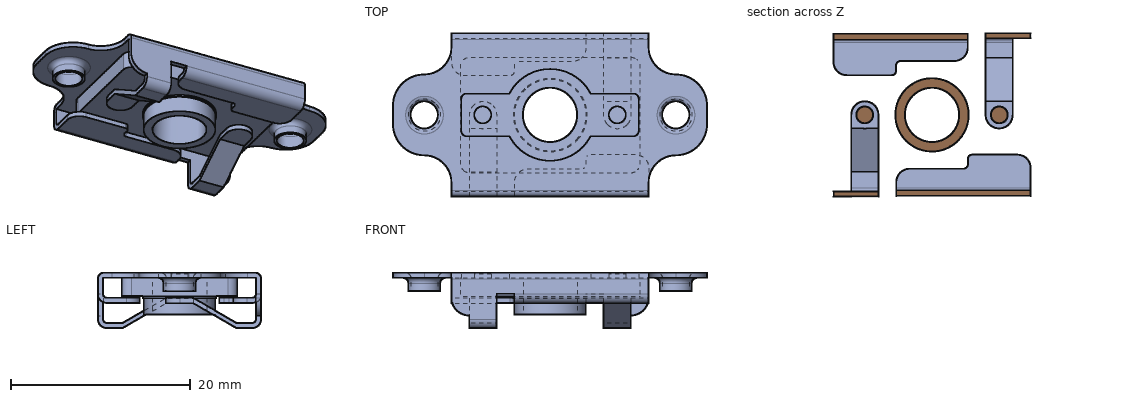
import cadquery as cq

SHEET = 0.6
BODY_LENGTH = 21.98
BODY_WIDTH = 18.2
TOTAL_HEIGHT = 6.2
TOP_BEND_RADIUS = 0.7
INNER_BEND_RADIUS = 0.42
OUTER_BEND_RADIUS = INNER_BEND_RADIUS + SHEET

TOTAL_LENGTH = 35.0
LUG_WIDTH = 9.03
LUG_CORNER_RADIUS = 3.5

EYELET_X = TOTAL_LENGTH / 2 - LUG_CORNER_RADIUS
EYELET_BORE_RADIUS = 1.5
EYELET_OUTER_RADIUS = 1.8
EYELET_DEPTH = 2.05
EYELET_FLARE = 0.6

WINDOW_LENGTH = 19.75
WINDOW_WIDTH = 4.75
WINDOW_CORNER_RADIUS = 0.6
WINDOW_CIRCLE_RADIUS = 5.1

BLOCK_LENGTH = 20.02
BLOCK_WIDTH = 12.88
BLOCK_CORNER_RADIUS = 1.1
BLOCK_BOTTOM = -2.62
COLLAR_RADIUS = 4.0
COLLAR_BOTTOM = -4.7
COLLAR_LIP_RADIUS = 4.1
COLLAR_LIP_HEIGHT = 0.2
BORE_RADIUS = 3.0
PIN_X = 7.5
PIN_RADIUS = 0.95
PIN_TOP = -0.1

FLANGE_BOTTOM = -3.4
FLANGE_TOP = FLANGE_BOTTOM + SHEET
FLANGE_START = -4.0
FLANGE_STEP = 4.0
FLANGE_NARROW_Y = -6.0
FLANGE_WIDE_Y = -4.4
FLANGE_CORNER_RADIUS = 1.5
FLANGE_STEP_RADIUS = 0.5

LEG_START = -9.0
LEG_WIDTH = 3.05
LEG_END = LEG_START + LEG_WIDTH
LEG_FOOT_Y = -6.35
LEG_KNEE_Y = -1.5
WALL_CORNER_RADIUS = 2.0
WALL_CORNER_TOP = -2.8

half_length = BODY_LENGTH / 2
half_width = BODY_WIDTH / 2
lug_neck_radius = EYELET_X - half_length
wall_inside_y = -half_width + SHEET
fold_start_z = FLANGE_BOTTOM + OUTER_BEND_RADIUS


def cylinder(radius, bottom, top, x=0):
    return cq.Workplane("XY", origin=(x, 0, bottom)).circle(radius).extrude(top - bottom)


def round_bend(solid, y, z, radius):
    """Round the edge along X that runs through the given y and z."""
    x = solid.val().Center().x
    edge = cq.selectors.NearestToPointSelector((x, y, z))
    return solid.edges("|X").edges(edge).fillet(radius)


def extrude_side_profile(points, x_start, x_end):
    """Extrude a closed Y-Z outline between two X positions."""
    profile = cq.Workplane("YZ", origin=(x_start, 0, 0)).polyline(points).close()
    return profile.extrude(x_end - x_start)


def make_plate():
    """Plate with a lug at each end, mirrored from one quarter."""
    lug_side = LUG_WIDTH / 2
    quarter = (
        cq.Workplane("XY", origin=(0, 0, -SHEET))
        .lineTo(TOTAL_LENGTH / 2, 0)
        .lineTo(TOTAL_LENGTH / 2, lug_side - LUG_CORNER_RADIUS)
        .radiusArc((EYELET_X, lug_side), -LUG_CORNER_RADIUS)
        .radiusArc((half_length, lug_side + lug_neck_radius), lug_neck_radius)
        .lineTo(half_length, half_width)
        .lineTo(0, half_width)
        .close()
        .extrude(SHEET)
    )
    half = quarter.union(quarter.mirror("XZ"))
    return half.union(half.mirror("YZ"))


def make_wall():
    """Side wall at -Y, with the rounded lower corner beside the leg."""
    corner_bottom = WALL_CORNER_TOP - WALL_CORNER_RADIUS
    return (
        cq.Workplane("XZ", origin=(0, -half_width, 0))
        .moveTo(-half_length, 0)
        .lineTo(half_length, 0)
        .lineTo(half_length, fold_start_z)
        .lineTo(LEG_END, fold_start_z)
        .lineTo(LEG_END, corner_bottom)
        .lineTo(LEG_START, corner_bottom)
        .radiusArc((-half_length, WALL_CORNER_TOP), WALL_CORNER_RADIUS)
        .close()
        .extrude(-SHEET)
    )


def make_flange():
    """Stepped flange folded inward from the -Y wall."""
    points = [
        (-half_width, -SHEET),
        (-half_width, FLANGE_BOTTOM),
        (FLANGE_WIDE_Y, FLANGE_BOTTOM),
        (FLANGE_WIDE_Y, FLANGE_TOP),
        (wall_inside_y, FLANGE_TOP),
        (wall_inside_y, -SHEET),
    ]
    fold = extrude_side_profile(points, FLANGE_START, half_length)
    fold = round_bend(fold, wall_inside_y, FLANGE_TOP, INNER_BEND_RADIUS)
    fold = round_bend(fold, -half_width, FLANGE_BOTTOM, OUTER_BEND_RADIUS)

    big = FLANGE_CORNER_RADIUS
    small = FLANGE_STEP_RADIUS
    outline = (
        cq.Workplane("XY", origin=(0, 0, FLANGE_BOTTOM))
        .moveTo(FLANGE_START, -half_width)
        .lineTo(FLANGE_START, FLANGE_NARROW_Y - big)
        .radiusArc((FLANGE_START + big, FLANGE_NARROW_Y), big)
        .lineTo(FLANGE_STEP - small, FLANGE_NARROW_Y)
        .radiusArc((FLANGE_STEP, FLANGE_NARROW_Y + small), -small)
        .lineTo(FLANGE_STEP, FLANGE_WIDE_Y - small)
        .radiusArc((FLANGE_STEP + small, FLANGE_WIDE_Y), small)
        .lineTo(half_length - big, FLANGE_WIDE_Y)
        .radiusArc((half_length, FLANGE_WIDE_Y - big), big)
        .lineTo(half_length, -half_width)
        .close()
        .extrude(-SHEET - FLANGE_BOTTOM)
    )
    return fold.intersect(outline)


def make_leg():
    """Spring leg: down the -Y wall, inward, then up to a rounded tip."""
    foot_top = -TOTAL_HEIGHT + SHEET
    points = [
        (-half_width, WALL_CORNER_TOP),
        (-half_width, -TOTAL_HEIGHT),
        (LEG_FOOT_Y, -TOTAL_HEIGHT),
        (LEG_KNEE_Y, FLANGE_BOTTOM),
        (0, FLANGE_BOTTOM),
        (0, FLANGE_TOP),
        (LEG_KNEE_Y, FLANGE_TOP),
        (LEG_FOOT_Y, foot_top),
        (wall_inside_y, foot_top),
        (wall_inside_y, WALL_CORNER_TOP),
    ]
    leg = extrude_side_profile(points, LEG_START, LEG_END)
    leg = round_bend(leg, wall_inside_y, foot_top, INNER_BEND_RADIUS)
    leg = round_bend(leg, -half_width, -TOTAL_HEIGHT, OUTER_BEND_RADIUS)
    tip = cylinder(LEG_WIDTH / 2, FLANGE_BOTTOM, FLANGE_TOP, (LEG_START + LEG_END) / 2)
    return leg.union(tip)


def make_window():
    bar = (
        cq.Workplane("XY", origin=(0, 0, -SHEET))
        .rect(WINDOW_LENGTH, WINDOW_WIDTH)
        .extrude(SHEET)
        .edges("|Z")
        .fillet(WINDOW_CORNER_RADIUS)
    )
    return bar.union(cylinder(WINDOW_CIRCLE_RADIUS, -SHEET, 0))


def make_block():
    block = (
        cq.Workplane("XY", origin=(0, 0, BLOCK_BOTTOM))
        .rect(BLOCK_LENGTH, BLOCK_WIDTH)
        .extrude(-SHEET - BLOCK_BOTTOM)
        .edges("|Z")
        .fillet(BLOCK_CORNER_RADIUS)
    )
    lip = cylinder(COLLAR_LIP_RADIUS, BLOCK_BOTTOM - COLLAR_LIP_HEIGHT, BLOCK_BOTTOM)
    block = block.union(lip).union(cylinder(COLLAR_RADIUS, COLLAR_BOTTOM, BLOCK_BOTTOM))
    for x in (-PIN_X, PIN_X):
        block = block.union(cylinder(PIN_RADIUS, FLANGE_TOP, PIN_TOP, x))
    return block.cut(cylinder(BORE_RADIUS, COLLAR_BOTTOM, 0))


def make_eyelet(x):
    """Tube around a lug hole, flared into the plate inside and outside."""
    flare = EYELET_FLARE
    profile = (
        cq.Workplane("XZ")
        .moveTo(EYELET_BORE_RADIUS, -EYELET_DEPTH)
        .lineTo(EYELET_OUTER_RADIUS, -EYELET_DEPTH)
        .lineTo(EYELET_OUTER_RADIUS, -SHEET - flare)
        .radiusArc((EYELET_OUTER_RADIUS + flare, -SHEET), flare)
        .lineTo(EYELET_OUTER_RADIUS + flare, 0)
        .lineTo(EYELET_BORE_RADIUS + flare, 0)
        .radiusArc((EYELET_BORE_RADIUS, -flare), -flare)
        .close()
    )
    return profile.revolve(360, (0, 0, 0), (0, 1, 0)).translate((x, 0, 0))


side = make_wall().union(make_flange()).union(make_leg())
channel = make_plate().union(side).union(side.rotate((0, 0, 0), (0, 0, 1), 180))
for wall_y in (-half_width, half_width):
    channel = round_bend(channel, wall_y, 0, TOP_BEND_RADIUS)
channel = channel.cut(make_window())

for eyelet_x in (-EYELET_X, EYELET_X):
    channel = channel.cut(cylinder(EYELET_OUTER_RADIUS + EYELET_FLARE, -SHEET, 0, eyelet_x))
    channel = channel.union(make_eyelet(eyelet_x))

result = channel.union(make_block())